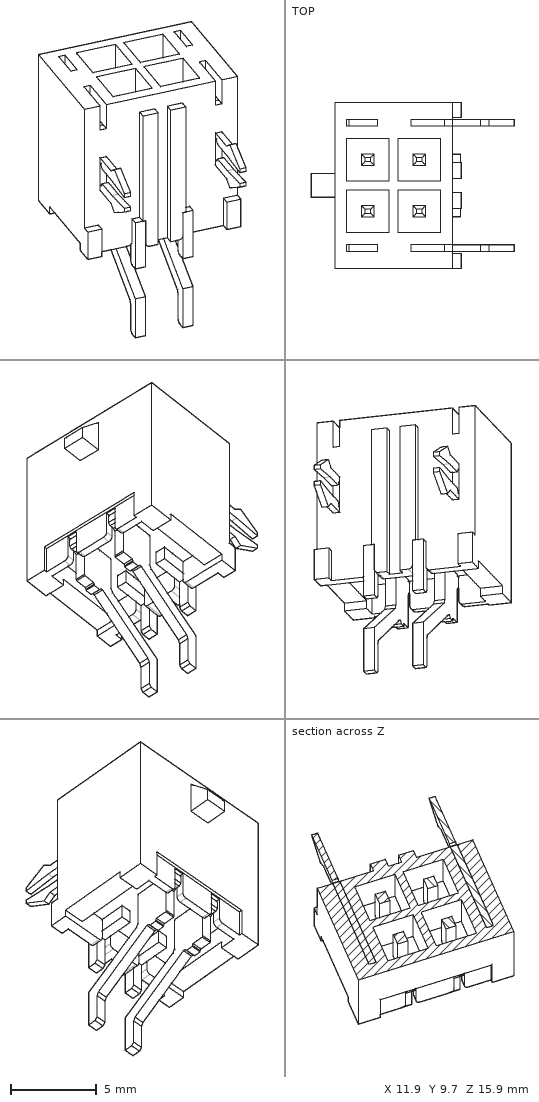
import cadquery as cq


body_length = 6.87
body_width = 9.7
body_height = 9.89
standoff_x = 7.38
foot_width = 0.89
foot_height = 1.86
rib_inner_y = 0.4
rib_width = 0.95
rib_top_z = 8.9
notch_start_x = 1.69
notch_end_x = 6.2
notch_height = 0.48

latch_reach = 1.38
latch_width = 1.4
latch_bottom_z = 7.08
latch_lip_z = 7.89
latch_top_z = latch_lip_z + latch_reach

pitch = 3.0
row_ys = (-pitch / 2, pitch / 2)
front_column_x = 1.92
rear_column_x = front_column_x + pitch
socket_size = 2.48
socket_floor_z = 2.38

recess_width = 6.96
recess_height = 1.88
recess_depth = 0.19
hollow_start_x = 0.67
hollow_height = 1.78
slot_mouth_radius = 0.25

terminal_thickness = 0.65
post_width = 0.73
post_top_z = 7.31
post_taper_height = 0.64
tip_width = 0.33
tip_thickness = 0.24
tail_x0 = 6.63
tail_x1 = 7.35
tail_chamfer = 0.17
front_tail_end_z = -6.01
rear_tail_end_z = -1.35
shoulder_start_x = 0.35
shoulder_top_z = 1.69
shoulder_bottom_z = 1.0
shoulder_chamfer = 0.15
block_start_x = 0.92
block_end_x = 3.26
block_bottom_z = -1.21
block_corner_x = 0.03
block_corner_z = 0.1
barb_start_x = 1.78
barb_end_x = 2.24
barb_bottom_z = -1.4
barb_front_chamfer = (0.06, 0.1)
barb_rear_chamfer = (0.15, 0.16)
slope_lower_start = (2.51, barb_bottom_z + barb_rear_chamfer[1])
slope_lower_end = (6.52, -3.88)
slope_upper_start = (3.39, -0.83)
slope_upper_end_z = -3.37
tail_inner_top_z = -4.12
block_rear_bottom_z = -0.57
rear_arm_bottom_z = 0.86

lock_thickness = 0.4
lock_y = 3.65
lock_center_z = 5.28
lock_half_height = 1.1
lock_gap_half = 0.5
lock_top_z = 8.27
lock_front_leg = (0.85, 2.5)
lock_rear_leg = (4.45, 6.39)
front_lock_slot_x = 0.68
lock_tip_x = 10.48
lock_barb_x = 8.98
lock_barb_start_x = 8.49
lock_barb_half = 1.46
lock_knee_x = 8.63
lock_tip_outer_half = 0.62
lock_tip_inner_half = 0.37
lock_root_gap_half = 0.75
lock_root_x0 = 6.96
lock_root_x1 = 7.15


def box(x0, x1, y0, y1, z0, z1):
    return cq.Workplane("XY").box(x1 - x0, y1 - y0, z1 - z0, centered=False).translate((x0, y0, z0))


def plate(points, thickness, y):
    """Plate with the given (x, z) outline, centred on y."""
    return cq.Workplane("XZ", origin=(0, y + thickness / 2, 0)).polyline(points).close().extrude(thickness)


def post(x, y):
    """Rectangular contact post with a tapered tip, standing on the roof of the hollow."""
    shaft_top_z = post_top_z - post_taper_height
    shaft = box(
        x - post_width / 2,
        x + post_width / 2,
        y - terminal_thickness / 2,
        y + terminal_thickness / 2,
        hollow_height,
        shaft_top_z,
    )
    tip = (
        cq.Workplane("XY", origin=(x, y, shaft_top_z))
        .rect(post_width, terminal_thickness)
        .workplane(offset=post_taper_height)
        .rect(tip_width, tip_thickness)
        .loft(ruled=True)
    )
    return shaft.union(tip)


def tail_end(end_z):
    """Lower points of a tail, from its inner to its outer side."""
    return [
        (tail_x0, end_z + tail_chamfer),
        (tail_x0 + tail_chamfer, end_z),
        (tail_x1, end_z),
    ]


def front_terminal(y):
    """Terminal of the latch-side column: shouldered block, sloping arm and long tail."""
    outline = [
        (block_start_x, hollow_height),
        (block_start_x, shoulder_top_z),
        (shoulder_start_x, shoulder_top_z),
        (shoulder_start_x, shoulder_bottom_z + shoulder_chamfer),
        (shoulder_start_x + shoulder_chamfer, shoulder_bottom_z),
        (block_start_x - shoulder_chamfer, shoulder_bottom_z),
        (block_start_x, shoulder_bottom_z - shoulder_chamfer),
        (block_start_x, block_bottom_z + block_corner_z),
        (block_start_x + block_corner_x, block_bottom_z),
        (barb_start_x - barb_front_chamfer[0], block_bottom_z),
        (barb_start_x, block_bottom_z - barb_front_chamfer[1]),
        (barb_start_x, barb_bottom_z),
        (barb_end_x, barb_bottom_z),
        (barb_end_x + barb_rear_chamfer[0], barb_bottom_z + barb_rear_chamfer[1]),
        slope_lower_start,
        slope_lower_end,
        (tail_x0, tail_inner_top_z),
        *tail_end(front_tail_end_z),
        (tail_x1, slope_upper_end_z),
        slope_upper_start,
        (block_end_x, block_rear_bottom_z),
        (block_end_x, hollow_height),
    ]
    return plate(outline, terminal_thickness, y).union(post(front_column_x, y))


def rear_terminal(y):
    """Terminal of the rear column: straight arm and short tail."""
    arm_start_x = rear_column_x - post_width / 2
    outline = [
        (arm_start_x, hollow_height),
        (arm_start_x, rear_arm_bottom_z),
        (tail_x0, rear_arm_bottom_z),
        *tail_end(rear_tail_end_z),
        (tail_x1, hollow_height),
    ]
    return plate(outline, terminal_thickness, y).union(post(rear_column_x, y))


def lock_plate(y):
    """Embedded part of a board lock: a base with two upright legs."""
    bottom_z = lock_center_z - lock_half_height
    base_top_z = lock_center_z + lock_half_height
    y0 = y - lock_thickness / 2
    y1 = y + lock_thickness / 2
    body = box(lock_front_leg[0], body_length, y0, y1, bottom_z, base_top_z)
    for x0, x1 in (lock_front_leg, lock_rear_leg):
        body = body.union(box(x0, x1, y0, y1, base_top_z, lock_top_z))
    return body


def board_lock(y):
    """Board lock with two barbed prongs, mirrored about the lock's centre height."""
    prong = [
        (body_length, lock_half_height),
        (lock_barb_start_x, lock_half_height),
        (lock_barb_x, lock_barb_half),
        (lock_tip_x, lock_tip_outer_half),
        (lock_tip_x, lock_tip_inner_half),
        (lock_knee_x, lock_gap_half),
        (lock_root_x1, lock_gap_half),
        (lock_root_x0, lock_root_gap_half),
        (body_length, lock_root_gap_half),
    ]
    lock = lock_plate(y)
    for side in (1, -1):
        outline = [(x, lock_center_z + side * offset) for x, offset in prong]
        lock = lock.union(plate(outline, lock_thickness, y))
    return lock


def latch():
    outline = [
        (0, latch_bottom_z),
        (-latch_reach, latch_bottom_z),
        (-latch_reach, latch_lip_z),
        (0, latch_top_z),
    ]
    return plate(outline, latch_width, 0)


def rear_standoffs():
    """Corner feet and tall ribs on the rear face, one of each on either side of Y = 0."""
    foot = box(body_length, standoff_x, body_width / 2 - foot_width, body_width / 2, 0, foot_height)
    rib = box(body_length, standoff_x, rib_inner_y, rib_inner_y + rib_width, 0, rib_top_z)
    one_side = foot.union(rib)
    return one_side.union(one_side.mirror("XZ"))


def sockets():
    return (
        cq.Workplane("XY", origin=(front_column_x + pitch / 2, 0, socket_floor_z))
        .rarray(pitch, pitch, 2, 2)
        .rect(socket_size, socket_size)
        .extrude(body_height - socket_floor_z)
    )


def terminal_slot(y, x0, x1):
    """Slot for a terminal through a wall from x0 to x1, with a rounded mouth at the bottom."""
    half = terminal_thickness / 2
    r = slot_mouth_radius
    outline = (
        cq.Workplane("YZ", origin=(x0, y, 0))
        .moveTo(-half - r, 0)
        .radiusArc((-half, r), -r)
        .lineTo(-half, hollow_height)
        .lineTo(half, hollow_height)
        .lineTo(half, r)
        .radiusArc((half + r, 0), -r)
        .close()
    )
    return outline.extrude(x1 - x0)


def lock_slots(y):
    """Slots in the top face above the legs of a board lock; the rear one opens to the rear."""
    y0 = y - lock_thickness / 2
    y1 = y + lock_thickness / 2
    front = box(front_lock_slot_x, lock_front_leg[1], y0, y1, lock_top_z, body_height)
    rear = box(lock_rear_leg[0], body_length, y0, y1, lock_top_z, body_height)
    return front.union(rear)


def make_housing():
    half_width = body_width / 2
    half_recess = recess_width / 2
    body = box(0, body_length, -half_width, half_width, 0, body_height).union(latch())
    body = body.union(rear_standoffs())
    body = body.cut(sockets())
    body = body.cut(box(notch_start_x, notch_end_x, -half_width, half_width, 0, notch_height))
    body = body.cut(box(0, recess_depth, -half_recess, half_recess, 0, recess_height))
    body = body.cut(box(hollow_start_x, notch_end_x, -half_recess, half_recess, 0, hollow_height))
    for y in row_ys:
        body = body.cut(terminal_slot(y, 0, hollow_start_x))
        body = body.cut(terminal_slot(y, notch_end_x, standoff_x))
        for x in (front_column_x, rear_column_x):
            body = body.cut(post(x, y))
    for y in (-lock_y, lock_y):
        body = body.cut(lock_slots(y)).cut(lock_plate(y))
    return body


housing = make_housing()
front_terminals = [front_terminal(y) for y in row_ys]
rear_terminals = [rear_terminal(y) for y in row_ys]
board_locks = [board_lock(y) for y in (-lock_y, lock_y)]

bodies = [housing, *front_terminals, *rear_terminals, *board_locks]
result = cq.Compound.makeCompound([body.solids().val() for body in bodies])